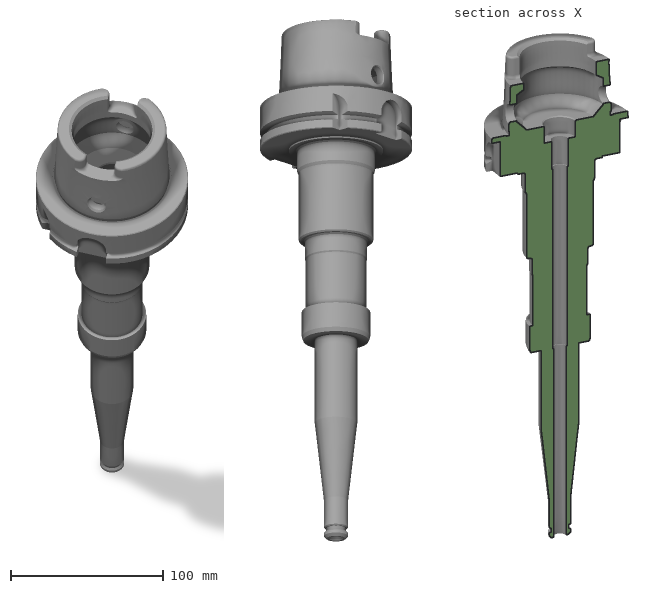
import cadquery as cq
import math


TAPER_HEIGHT = 50.0
TAPER_TOP_RADIUS = 35.7
TAPER_BASE_RADIUS = 37.85
TAPER_BASE_Z = 2.5
TAPER_RIM_FILLET = 1.5
RELIEF_RADIUS = 37.2
RELIEF_OUTER_RADIUS = 39.0
RELIEF_DEPTH = 0.5

FLANGE_RADIUS = 50.0
FLANGE_THICKNESS = 29.0
FLANGE_EDGE_CHAMFER = 0.5
GROOVE_TOP_Z = -17.5
GROOVE_BOTTOM_Z = -23.3
GROOVE_FLOOR_RADIUS = 46.0
GROOVE_FLANK_HEIGHT = 1.5
HUB_RADIUS = 31.0
HUB_HEIGHT = 1.0

NECK_RADIUS = 25.5
NECK_END_Z = -43.7
ROOT_BEVEL = 1.0
BODY_RADIUS = 24.5
BODY_START_Z = -45.7
BODY_END_Z = -92.0
BODY_CHAMFER = 1.0
SLEEVE_UPPER_RADIUS = 20.5
SLEEVE_LOWER_RADIUS = 20.0
SLEEVE_STEP_Z = -105.0
SLEEVE_STEP_CHAMFER = 1.0
COLLAR_RADIUS = 22.5
COLLAR_TOP_Z = -140.5
COLLAR_BOTTOM_Z = -160.0
COLLAR_CHAMFER_HEIGHT = 2.7
COLLAR_CHAMFER_WIDTH = 1.0

STEM_RADIUS = 14.0
STEM_END_Z = -216.5
TIP_RADIUS = 8.0
TIP_START_Z = -269.5
TIP_END_Z = -296.0
TIP_CHAMFER = 1.75
TIP_GROOVE_RADIUS = 6.5
TIP_GROOVE_TOP_Z = -289.0
TIP_GROOVE_BOTTOM_Z = -291.5
TIP_GROOVE_EDGE_CHAMFER = 0.8

CAVITY_RADIUS = 26.5
CAVITY_RIM_RADIUS = 28.3
CAVITY_RIM_CHAMFER = 1.5
UNDERCUT_TOP_Z = 30.0
UNDERCUT_RADIUS = 31.5
UNDERCUT_ANGLE = 30.0
CAVITY_FLOOR_RADIUS = 24.4
CAVITY_FLOOR_Z = 1.0
SOCKET_RADIUS = 11.19
SOCKET_MOUTH_RADIUS = 11.9
SOCKET_DEPTH = 12.0
SOCKET_BORE_RADIUS = 6.0
SOCKET_BORE_DEPTH = 20.0
SHANK_BORE_RADIUS = 5.0
SHANK_BORE_END_Z = COLLAR_BOTTOM_Z
TIP_BORE_RADIUS = 4.5
CLAMP_HOLE_RADIUS = 6.0
CLAMP_HOLE_Z = 15.0
CLAMP_HOLE_MOUTH_RADIUS = 7.0

DRIVE_SLOT_WIDTH = 20.0
DRIVE_SLOT_START = 18.0
DRIVE_SLOT_FLARE_RADIUS = 4.0
DRIVE_SLOT_SHOULDER_Y = 32.0
DRIVE_SLOT_FLOOR_FILLET = 2.0
FRONT_SLOT_FLOOR_Z = 40.0
REAR_SLOT_FLOOR_Z = 35.0

KEYWAY_CENTRE_Z = -15.0
FRONT_KEYWAY_WIDTH = 20.0
KEYWAY_FLOOR = 44.0
REAR_KEYWAY_WIDTH = 22.0
NOTCH_WIDTH = 20.0
NOTCH_WALL_X = -31.6
NOTCH_FLOOR = 31.6


def revolve_profile(points):
    return cq.Workplane("XZ").polyline(points).close().revolve(360, (0, 0, 0), (0, 1, 0))


def outer_body():
    hub_z = -FLANGE_THICKNESS - HUB_HEIGHT
    edge = FLANGE_EDGE_CHAMFER
    tip_edge = TIP_GROOVE_EDGE_CHAMFER
    return revolve_profile([
        (0, TAPER_HEIGHT),
        (TAPER_TOP_RADIUS, TAPER_HEIGHT),
        (TAPER_BASE_RADIUS, TAPER_BASE_Z),
        (RELIEF_RADIUS, TAPER_BASE_Z - (TAPER_BASE_RADIUS - RELIEF_RADIUS)),
        (RELIEF_RADIUS, -RELIEF_DEPTH),
        (RELIEF_OUTER_RADIUS, -RELIEF_DEPTH),
        (RELIEF_OUTER_RADIUS, 0),
        (FLANGE_RADIUS - edge, 0),
        (FLANGE_RADIUS, -edge),
        (FLANGE_RADIUS, GROOVE_TOP_Z),
        (GROOVE_FLOOR_RADIUS, GROOVE_TOP_Z - GROOVE_FLANK_HEIGHT),
        (GROOVE_FLOOR_RADIUS, GROOVE_BOTTOM_Z + GROOVE_FLANK_HEIGHT),
        (FLANGE_RADIUS, GROOVE_BOTTOM_Z),
        (FLANGE_RADIUS, -FLANGE_THICKNESS + edge),
        (FLANGE_RADIUS - edge, -FLANGE_THICKNESS),
        (HUB_RADIUS, -FLANGE_THICKNESS),
        (HUB_RADIUS, hub_z),
        (NECK_RADIUS + ROOT_BEVEL, hub_z),
        (NECK_RADIUS, hub_z - ROOT_BEVEL),
        (NECK_RADIUS, NECK_END_Z),
        (BODY_RADIUS, BODY_START_Z),
        (BODY_RADIUS, BODY_END_Z + BODY_CHAMFER),
        (BODY_RADIUS - BODY_CHAMFER, BODY_END_Z),
        (SLEEVE_UPPER_RADIUS + ROOT_BEVEL, BODY_END_Z),
        (SLEEVE_UPPER_RADIUS, BODY_END_Z - ROOT_BEVEL),
        (SLEEVE_UPPER_RADIUS, SLEEVE_STEP_Z + SLEEVE_STEP_CHAMFER),
        (SLEEVE_LOWER_RADIUS, SLEEVE_STEP_Z),
        (SLEEVE_LOWER_RADIUS, COLLAR_TOP_Z),
        (COLLAR_RADIUS, COLLAR_TOP_Z),
        (COLLAR_RADIUS, COLLAR_BOTTOM_Z + COLLAR_CHAMFER_HEIGHT),
        (COLLAR_RADIUS - COLLAR_CHAMFER_WIDTH, COLLAR_BOTTOM_Z),
        (STEM_RADIUS, COLLAR_BOTTOM_Z),
        (STEM_RADIUS, STEM_END_Z),
        (TIP_RADIUS, TIP_START_Z),
        (TIP_RADIUS, TIP_GROOVE_TOP_Z + tip_edge),
        (TIP_RADIUS - tip_edge, TIP_GROOVE_TOP_Z),
        (TIP_GROOVE_RADIUS, TIP_GROOVE_TOP_Z),
        (TIP_GROOVE_RADIUS, TIP_GROOVE_BOTTOM_Z),
        (TIP_RADIUS - tip_edge, TIP_GROOVE_BOTTOM_Z),
        (TIP_RADIUS, TIP_GROOVE_BOTTOM_Z - tip_edge),
        (TIP_RADIUS, TIP_END_Z + TIP_CHAMFER),
        (TIP_RADIUS - TIP_CHAMFER, TIP_END_Z),
        (0, TIP_END_Z),
    ])


def inner_cavity():
    undercut_drop = (UNDERCUT_RADIUS - CAVITY_RADIUS) * math.tan(math.radians(UNDERCUT_ANGLE))
    floor_bevel = UNDERCUT_RADIUS - CAVITY_FLOOR_RADIUS
    mouth_bevel = SOCKET_MOUTH_RADIUS - SOCKET_RADIUS
    socket_z = CAVITY_FLOOR_Z - SOCKET_DEPTH
    socket_bore_z = socket_z - SOCKET_BORE_DEPTH
    return revolve_profile([
        (0, TAPER_HEIGHT),
        (CAVITY_RIM_RADIUS, TAPER_HEIGHT),
        (CAVITY_RADIUS, TAPER_HEIGHT - CAVITY_RIM_CHAMFER),
        (CAVITY_RADIUS, UNDERCUT_TOP_Z),
        (UNDERCUT_RADIUS, UNDERCUT_TOP_Z - undercut_drop),
        (UNDERCUT_RADIUS, CAVITY_FLOOR_Z + floor_bevel),
        (CAVITY_FLOOR_RADIUS, CAVITY_FLOOR_Z),
        (SOCKET_MOUTH_RADIUS, CAVITY_FLOOR_Z),
        (SOCKET_RADIUS, CAVITY_FLOOR_Z - mouth_bevel),
        (SOCKET_RADIUS, socket_z),
        (SOCKET_BORE_RADIUS, socket_z),
        (SOCKET_BORE_RADIUS, socket_bore_z),
        (SHANK_BORE_RADIUS, socket_bore_z),
        (SHANK_BORE_RADIUS, SHANK_BORE_END_Z),
        (TIP_BORE_RADIUS, SHANK_BORE_END_Z),
        (TIP_BORE_RADIUS, TIP_END_Z),
        (0, TIP_END_Z),
    ])


def clamp_hole():
    """Cross hole along Y through both taper walls, with a 45 degree countersink at each mouth."""
    taper_slope = (TAPER_BASE_RADIUS - TAPER_TOP_RADIUS) / (TAPER_HEIGHT - TAPER_BASE_Z)
    wall_radius = TAPER_TOP_RADIUS + taper_slope * (TAPER_HEIGHT - CLAMP_HOLE_Z)
    countersink_y = wall_radius - (CLAMP_HOLE_MOUTH_RADIUS - CLAMP_HOLE_RADIUS)
    half_length = TAPER_BASE_RADIUS + CLAMP_HOLE_RADIUS / 2
    outer_radius = CLAMP_HOLE_RADIUS + half_length - countersink_y
    return (
        cq.Workplane("XY", origin=(0, 0, CLAMP_HOLE_Z))
        .polyline([
            (0, -half_length),
            (outer_radius, -half_length),
            (CLAMP_HOLE_RADIUS, -countersink_y),
            (CLAMP_HOLE_RADIUS, countersink_y),
            (outer_radius, half_length),
            (0, half_length),
        ])
        .close()
        .revolve(360, (0, 0, 0), (0, 1, 0))
    )


def drive_slot(floor_z, side):
    """Slot through the taper wall on one side (-1 or +1 in Y), opening through rounds onto flat shoulders."""
    half = DRIVE_SLOT_WIDTH / 2
    flare = DRIVE_SLOT_FLARE_RADIUS
    flare_end = half + flare
    flare_middle = flare_end - flare * math.sqrt(0.5)
    start_y = side * DRIVE_SLOT_START
    flare_y = side * (DRIVE_SLOT_SHOULDER_Y - flare)
    flare_middle_y = flare_y + side * flare * math.sqrt(0.5)
    shoulder_y = side * DRIVE_SLOT_SHOULDER_Y
    outer_y = side * FLANGE_RADIUS
    return (
        cq.Workplane("XY", origin=(0, 0, floor_z))
        .moveTo(-half, start_y)
        .lineTo(-half, flare_y)
        .threePointArc((-flare_middle, flare_middle_y), (-flare_end, shoulder_y))
        .lineTo(-TAPER_BASE_RADIUS, shoulder_y)
        .lineTo(-TAPER_BASE_RADIUS, outer_y)
        .lineTo(TAPER_BASE_RADIUS, outer_y)
        .lineTo(TAPER_BASE_RADIUS, shoulder_y)
        .lineTo(flare_end, shoulder_y)
        .threePointArc((flare_middle, flare_middle_y), (half, flare_y))
        .lineTo(half, start_y)
        .close()
        .extrude(TAPER_HEIGHT)
        .faces("<Z")
        .edges()
        .fillet(DRIVE_SLOT_FLOOR_FILLET)
    )


def keyway(width, centre_x, floor, side):
    """Round-topped keyway cut into one side (-1 or +1 in Y) of the flange and open at its bottom."""
    radius = width / 2
    height = FLANGE_THICKNESS + KEYWAY_CENTRE_Z
    return (
        cq.Workplane("XZ", origin=(centre_x, side * floor, KEYWAY_CENTRE_Z))
        .moveTo(-radius, -height)
        .lineTo(-radius, 0)
        .threePointArc((0, radius), (radius, 0))
        .lineTo(radius, -height)
        .close()
        .extrude(-side * FLANGE_RADIUS)
    )


result = outer_body()
result = result.cut(drive_slot(FRONT_SLOT_FLOOR_Z, -1)).cut(drive_slot(REAR_SLOT_FLOOR_Z, 1))
result = result.faces(">Z").edges().fillet(TAPER_RIM_FILLET)
result = result.cut(inner_cavity()).cut(clamp_hole())
result = result.cut(keyway(FRONT_KEYWAY_WIDTH, 0, KEYWAY_FLOOR, -1))
result = result.cut(keyway(REAR_KEYWAY_WIDTH, 0, KEYWAY_FLOOR, 1))
result = result.cut(keyway(NOTCH_WIDTH, NOTCH_WALL_X - NOTCH_WIDTH / 2, NOTCH_FLOOR, -1))